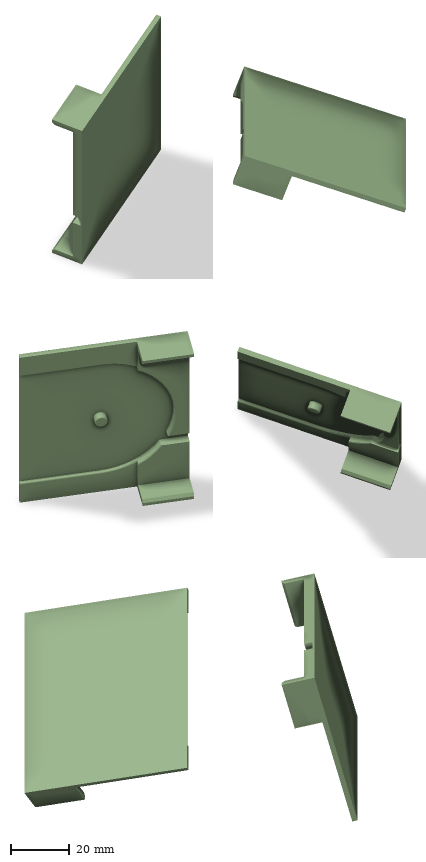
import cadquery as cq

DEPTH = 11.6
LENGTH = 59.0
HEIGHT = 69.0

CLAMP_LENGTH = 18.0
CLAMP_THICKNESS = 3.6
PLATE_THICKNESS = 1.8

FLANGE_THICKNESS = 2.3
LIP_CHAMFER = 1.0

FLOOR_THICKNESS = 0.6
FLOOR_X = DEPTH - FLOOR_THICKNESS
RECESS_RADIUS = 25.5
RECESS_CENTER_Y = 30.8
RECESS_CENTER_Z = HEIGHT / 2
RIM_FILLET = 0.5

NOTCH_WIDTH = 4.0
NOTCH_BOTTOM_Z = 19.75

PIN_DIAMETER = 4.5
PIN_HEIGHT = 2.8
PIN_FILLET = 0.4

TOLERANCE = 0.01


def box(x_range, y_range, z_range):
    """Axis-aligned box between the given limits."""
    sizes = [high - low for low, high in (x_range, y_range, z_range)]
    corner = (x_range[0], y_range[0], z_range[0])
    return cq.Workplane("XY").box(*sizes, centered=False).translate(corner)


def make_clamp_blank():
    """C-shaped section in XZ, with the inner lips of both flanges chamfered."""
    inner_x = DEPTH - CLAMP_THICKNESS
    inner_top = HEIGHT - FLANGE_THICKNESS
    return (
        cq.Workplane("XZ")
        .moveTo(DEPTH, 0)
        .lineTo(0, 0)
        .lineTo(0, FLANGE_THICKNESS - LIP_CHAMFER)
        .lineTo(LIP_CHAMFER, FLANGE_THICKNESS)
        .lineTo(inner_x, FLANGE_THICKNESS)
        .lineTo(inner_x, inner_top)
        .lineTo(LIP_CHAMFER, inner_top)
        .lineTo(0, inner_top + LIP_CHAMFER)
        .lineTo(0, HEIGHT)
        .lineTo(DEPTH, HEIGHT)
        .close()
        .extrude(-CLAMP_LENGTH)
    )


def make_plate_blank():
    """Thin flat section behind the clamp section."""
    return box((DEPTH - PLATE_THICKNESS, DEPTH), (CLAMP_LENGTH, LENGTH), (0, HEIGHT))


def make_recess():
    """Recess volume: a half-disc nose and a straight run out of the rear end."""
    straight_length = LENGTH - RECESS_CENTER_Y
    return (
        cq.Workplane("YZ", origin=(0, RECESS_CENTER_Y, RECESS_CENTER_Z))
        .moveTo(straight_length, -RECESS_RADIUS)
        .lineTo(0, -RECESS_RADIUS)
        .threePointArc((-RECESS_RADIUS, 0), (0, RECESS_RADIUS))
        .lineTo(straight_length, RECESS_RADIUS)
        .close()
        .extrude(FLOOR_X)
    )


def cut_recess(blank, thickness):
    """Cut the recess into one section and round its rim on that section's face."""
    face_x = DEPTH - thickness
    reach = RECESS_RADIUS + TOLERANCE
    rim = cq.selectors.BoxSelector(
        (face_x - TOLERANCE, RECESS_CENTER_Y - reach, RECESS_CENTER_Z - reach),
        (face_x + TOLERANCE, LENGTH - TOLERANCE, RECESS_CENTER_Z + reach),
    )
    return blank.cut(make_recess()).edges(rim).fillet(RIM_FILLET)


def make_notch():
    """Straight slot from the front edge to the recess, down to the recess floor."""
    return box(
        (0, FLOOR_X),
        (0, RECESS_CENTER_Y),
        (NOTCH_BOTTOM_Z, NOTCH_BOTTOM_Z + NOTCH_WIDTH),
    )


def make_pin():
    """Round pin with a rounded free end."""
    return (
        cq.Workplane("YZ", origin=(FLOOR_X, RECESS_CENTER_Y, RECESS_CENTER_Z))
        .circle(PIN_DIAMETER / 2)
        .extrude(-PIN_HEIGHT)
        .faces("<X")
        .edges()
        .fillet(PIN_FILLET)
    )


clamp = cut_recess(make_clamp_blank(), CLAMP_THICKNESS).cut(make_notch())
plate = cut_recess(make_plate_blank(), PLATE_THICKNESS)
result = clamp.union(plate).union(make_pin()).clean()